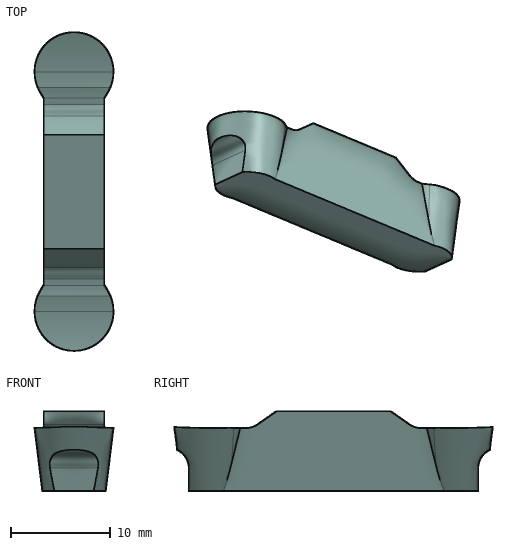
import cadquery as cq
import math


overall_length = 32.2
body_width = 6.15
body_height = 8.08

nose_radius = 4.0
nose_height = 6.38
relief_angle = 7.0
neck_angle = 30.0

dish_radius = 80.0
ridge_radius = 60.0
ridge_reach = 1.55
hollow_end = 9.48
seat_end = 8.81
ramp_fillet_radius = 2.0
ramp_angle = 35.0

heel_half_length = 14.62
heel_height = 2.34
heel_fillet_radius = 2.0

side_margin = 1.0


def rake_height(radius, offset):
    """Height of a rake-face arc, level at the nose centre, at a Y offset from that centre."""
    return nose_height + radius - math.sqrt(radius**2 - offset**2)


relief_slope = math.tan(math.radians(relief_angle))
tip_overhang = (rake_height(dish_radius, nose_radius) - nose_height) * relief_slope
nose_center = overall_length / 2 - nose_radius - tip_overhang
profile_end = heel_half_length + heel_fillet_radius
ridge_y = nose_center - ridge_reach


def make_nose():
    """Teardrop nose on the +Y end: a round tip with tangent flares, tapering toward the bottom."""
    top = rake_height(dish_radius, profile_end - nose_center)
    radius = nose_radius + (top - nose_height) * relief_slope
    tangent_x = radius * math.cos(math.radians(neck_angle))
    tangent_y = nose_center - radius * math.sin(math.radians(neck_angle))
    apex_y = nose_center - radius / math.sin(math.radians(neck_angle))
    return (
        cq.Workplane("XY", origin=(0, 0, top))
        .moveTo(0, apex_y)
        .lineTo(tangent_x, tangent_y)
        .threePointArc((0, nose_center + radius), (-tangent_x, tangent_y))
        .close()
        .extrude(-top, taper=relief_angle)
    )


def make_side_profile():
    """Solid with the side outline of the +Y half, wider than the nose."""
    ramp = math.radians(ramp_angle)
    half_ramp = ramp / 2
    ramp_start_y = seat_end - ramp_fillet_radius * math.sin(ramp)
    ramp_start_z = nose_height + ramp_fillet_radius * (1 - math.cos(ramp))
    ramp_mid = (
        seat_end - ramp_fillet_radius * math.sin(half_ramp),
        nose_height + ramp_fillet_radius * (1 - math.cos(half_ramp)),
    )
    shoulder_y = ramp_start_y - (body_height - ramp_start_z) / math.tan(ramp)
    dish_mid = ((nose_center + profile_end) / 2, rake_height(dish_radius, (profile_end - nose_center) / 2))
    ridge_mid = ((nose_center + ridge_y) / 2, rake_height(ridge_radius, ridge_reach / 2))
    ridge_rise = rake_height(ridge_radius, ridge_reach) - nose_height
    hollow_mid = ((ridge_y + hollow_end) / 2, nose_height + ridge_rise / 4)
    heel_fillet_mid = (
        profile_end - heel_fillet_radius * math.cos(math.pi / 4),
        heel_height + heel_fillet_radius * math.sin(math.pi / 4),
    )
    return (
        cq.Workplane("YZ")
        .moveTo(0, 0)
        .lineTo(heel_half_length, 0)
        .lineTo(heel_half_length, heel_height)
        .threePointArc(heel_fillet_mid, (profile_end, heel_height + heel_fillet_radius))
        .lineTo(profile_end, rake_height(dish_radius, profile_end - nose_center))
        .threePointArc(dish_mid, (nose_center, nose_height))
        .threePointArc(ridge_mid, (ridge_y, rake_height(ridge_radius, ridge_reach)))
        .threePointArc(hollow_mid, (hollow_end, nose_height))
        .lineTo(seat_end, nose_height)
        .threePointArc(ramp_mid, (ramp_start_y, ramp_start_z))
        .lineTo(shoulder_y, body_height)
        .lineTo(0, body_height)
        .close()
        .extrude(nose_radius + side_margin, both=True)
    )


body = cq.Workplane("XY").box(body_width, nose_center, body_height, centered=(True, False, False))
half = body.union(make_nose()).intersect(make_side_profile())
result = half.union(half.mirror("XZ"))